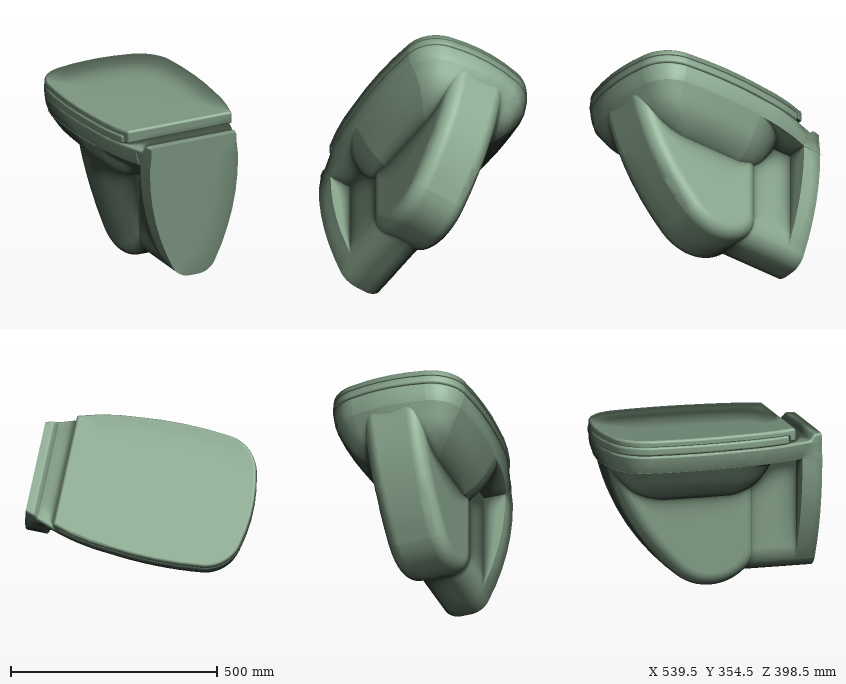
import cadquery as cq
import math


LENGTH = 539.5
WIDTH = 354.5
HEIGHT = 398.5
HALF_WIDTH = WIDTH / 2
FLANGE_X = 489.5

NOSE_END = (11.5, 95.0)
CORNER_END = (89.0, 170.0)
WIDEST_X = 210.5
SIDE_END = (323.5, 170.5)
REAR_ARC_MID = (404.0, 159.5)
REAR_ARC_END = (FLANGE_X, 134.5)
WALL_HALF_WIDTH = 117.5
CORNER_BULGE = 0.157

RIM_TOP = 361.0
RIM_ROUND = 6.0
FILLET_MARGIN = 0.05
RIM_FULL_Z = RIM_TOP - RIM_ROUND
RIM_BOTTOM = 316.0
SEAT_TOP = 383.0

BODY_SETBACK = 1.5
SEAT_REAR = 448.5
SEAT_ROUND = 6.5
LID_REAR = 466.0
LID_TOP_ROUND = 6.5
LID_EDGE_ROUND = 2.5
LID_CORNER_ROUND = 5.5
LIP_FRONT = 451.5
LIP_BOTTOM = 369.0
LIP_INNER_ROUND = 9.5

RIM_SECTIONS = [(RIM_FULL_Z, 0.0), (336.5, 2.5), (RIM_BOTTOM, 11.0)]
BOWL_SECTIONS = [
    (RIM_BOTTOM, 11.0, 95.0, 88.5, 7.0, 453.0),
    (289.0, 29.0, 86.5, 91.5, 6.5, 437.0),
    (265.5, 47.0, 75.5, 102.5, 5.5, 422.0),
    (245.0, 70.5, 62.0, 124.0, 3.0, 404.5),
    (222.0, 108.0, 43.0, 170.0, 0.5, 367.0),
]

FOOT_HALF_WIDTH = 75.0
FOOT_ROUND = 34.5
FOOT_CENTER_X = 275.5
FOOT_RADIUS = 129.5
FOOT_FRONT_ANGLE = 41.5
FOOT_BACK_ANGLE = 47.0
FOOT_BACK_X = 388.0
FOOT_TOP = (14.0, 329.0)

REAR_HALF_WIDTH = 65.0
REAR_START_X = 323.5
REAR_TOP = 323.5
REAR_ROUND_TOP = 91.5
REAR_ROUND_MID = (63.0, 72.5)
REAR_ROUND_END = (57.5, 56.0)
KEEL_START = (55.0, 50.5)
KEEL_RADIUS = 50.5
KEEL_BOTTOM = 26.5
FLANGE_HALF_WIDTH = 120.5
FLANGE_CURVE_MID = (99.0, 159.5)

LEDGE_FOOT_X = 507.0
LEDGE_CREST_X = 519.0
LEDGE_TOP = 375.5
LEDGE_BEND_ROUND = 8.0


def plan_outline(inset, z):
    """Closed plan outline at height z; every edge but the wall face moves in by inset."""
    nose_end = (NOSE_END[0] + inset, NOSE_END[1])
    corner_end = (CORNER_END[0], CORNER_END[1] - inset)
    corner_mid = arc_mid(nose_end, corner_end, CORNER_BULGE)
    side_mid = (WIDEST_X, HALF_WIDTH - inset)
    side_end = (SIDE_END[0], SIDE_END[1] - inset)
    rear_mid = (REAR_ARC_MID[0], REAR_ARC_MID[1] - inset)
    rear_end = (REAR_ARC_END[0], REAR_ARC_END[1] - inset)
    wall = (LENGTH, WALL_HALF_WIDTH - inset)
    return (
        cq.Workplane("XY", origin=(0, 0, z))
        .moveTo(*mirrored(nose_end))
        .threePointArc((inset, 0), nose_end)
        .threePointArc(corner_mid, corner_end)
        .threePointArc(side_mid, side_end)
        .threePointArc(rear_mid, rear_end)
        .lineTo(*wall)
        .lineTo(*mirrored(wall))
        .lineTo(*mirrored(rear_end))
        .threePointArc(mirrored(rear_mid), mirrored(side_end))
        .threePointArc(mirrored(side_mid), mirrored(corner_end))
        .threePointArc(mirrored(corner_mid), mirrored(nose_end))
        .close()
    )


def bowl_outline(z, inset, nose_half_width, corner_x, side_rise, rear_x):
    """Closed oval section of the bowl below the rim."""
    half_width = HALF_WIDTH - inset
    nose_end = (NOSE_END[0] + inset, nose_half_width)
    corner_end = (corner_x, half_width - side_rise)
    corner_mid = arc_mid(nose_end, corner_end, CORNER_BULGE)
    side_mid = ((corner_x + SIDE_END[0]) / 2, half_width)
    side_end = (SIDE_END[0], half_width - side_rise)
    return (
        cq.Workplane("XY", origin=(0, 0, z))
        .moveTo(*mirrored(nose_end))
        .threePointArc((inset, 0), nose_end)
        .threePointArc(corner_mid, corner_end)
        .threePointArc(side_mid, side_end)
        .threePointArc((rear_x, 0), mirrored(side_end))
        .threePointArc(mirrored(side_mid), mirrored(corner_end))
        .threePointArc(mirrored(corner_mid), mirrored(nose_end))
        .close()
    )


def mirrored(point):
    """The same plan point on the other side of the centre plane."""
    return (point[0], -point[1])


def arc_mid(start, end, bulge):
    """Middle of an arc that bulges to the left of the way from start to end."""
    run = end[0] - start[0]
    rise = end[1] - start[1]
    return ((start[0] + end[0]) / 2 - bulge * rise, (start[1] + end[1]) / 2 + bulge * run)


def loft_through(outlines):
    wires = [outline.val() for outline in outlines]
    return cq.Workplane(cq.Solid.makeLoft(wires))


def plan_slab(inset, bottom, top):
    return plan_outline(inset, bottom).extrude(top - bottom)


def space_behind(x):
    """Block that covers everything behind x."""
    return cq.Workplane("XY").box(LENGTH, 2 * WIDTH, 2 * HEIGHT, centered=(False, True, False)).translate((x, 0, 0))


def make_lid():
    slab = plan_slab(BODY_SETBACK, LIP_BOTTOM, HEIGHT).cut(space_behind(LID_REAR))
    slab = slab.edges("|Z and >X").fillet(LID_CORNER_ROUND)
    seat_space = (
        cq.Workplane("XY")
        .box(2 * LIP_FRONT, 2 * WIDTH, 2 * (SEAT_TOP - LIP_BOTTOM))
        .translate((0, 0, LIP_BOTTOM))
        .edges(">X and >Z")
        .fillet(LIP_INNER_ROUND)
    )
    lid = slab.cut(seat_space)
    lid = lid.faces(">Z").edges().fillet(LID_TOP_ROUND)
    margin = LID_EDGE_ROUND / 2
    ahead_of_lip = cq.selectors.BoxSelector(
        (-margin, -WIDTH, LIP_BOTTOM - margin),
        (LIP_FRONT + margin, WIDTH, SEAT_TOP + margin),
    )
    across = cq.selectors.ParallelDirSelector(cq.Vector(0, 1, 0))
    lip_bottom_edges = lid.faces("<Z").edges()
    return lid.edges(ahead_of_lip - across).add(lip_bottom_edges).fillet(LID_EDGE_ROUND)


def make_seat():
    slab = plan_slab(0, RIM_TOP, SEAT_TOP).cut(space_behind(SEAT_REAR))
    slab = slab.edges("|Z and >X").fillet(SEAT_ROUND)
    return slab.faces("<Z or >Z").edges().fillet(SEAT_ROUND)


def make_rim():
    body = loft_through([plan_outline(BODY_SETBACK + inset, z) for z, inset in RIM_SECTIONS])
    body = body.cut(space_behind(FLANGE_X)).union(make_rim_tail())
    top = plan_slab(BODY_SETBACK, RIM_FULL_Z, RIM_TOP)
    top = top.faces(">Z").edges("not >X").fillet(RIM_ROUND - FILLET_MARGIN)
    return body.union(top)


def make_rim_tail():
    """Rear end of the rim, blending from the rim profile into the upright flange side."""

    def cross_section(x, top_half_width, bottom_half_width):
        return (
            cq.Workplane("YZ", origin=(x, 0, 0))
            .moveTo(-top_half_width, RIM_FULL_Z)
            .lineTo(top_half_width, RIM_FULL_Z)
            .lineTo(bottom_half_width, RIM_BOTTOM)
            .lineTo(-bottom_half_width, RIM_BOTTOM)
            .close()
        )

    front_half_width = REAR_ARC_END[1] - BODY_SETBACK
    bottom_inset = RIM_SECTIONS[-1][1]
    front = cross_section(FLANGE_X, front_half_width, front_half_width - bottom_inset)
    back = cross_section(LENGTH, WALL_HALF_WIDTH - BODY_SETBACK, FLANGE_HALF_WIDTH)
    return loft_through([front, back])


def make_bowl_shell():
    return loft_through([bowl_outline(*section) for section in BOWL_SECTIONS])


def make_foot():
    """Upright slab under the bowl with a rounded outline and rounded edges."""

    def on_bottom_arc(degrees):
        angle = math.radians(degrees)
        x = FOOT_CENTER_X + FOOT_RADIUS * math.sin(angle)
        return (x, FOOT_RADIUS * (1 - math.cos(angle)))

    front = on_bottom_arc(-FOOT_FRONT_ANGLE)
    back = on_bottom_arc(FOOT_BACK_ANGLE)
    back_angle = math.radians(FOOT_BACK_ANGLE)
    heel_radius = (FOOT_BACK_X - back[0]) / (1 - math.sin(back_angle))
    heel_top = (FOOT_BACK_X, back[1] + heel_radius * math.cos(back_angle))
    slab = (
        cq.Workplane("XZ")
        .moveTo(FOOT_BACK_X, FOOT_TOP[1])
        .lineTo(*heel_top)
        .tangentArcPoint(back, relative=False)
        .threePointArc((FOOT_CENTER_X, 0), front)
        .tangentArcPoint(FOOT_TOP, relative=False)
        .close()
        .extrude(FOOT_HALF_WIDTH, both=True)
    )
    side_edges = slab.faces("<Y or >Y").edges("not >Z")
    return side_edges.fillet(FOOT_ROUND)


def keel(outline):
    """Carry a half section on from KEEL_START round the bottom edge to the centre plane."""
    y, z = KEEL_START
    drop = KEEL_RADIUS - (z - KEEL_BOTTOM)
    bottom_y = y - math.sqrt(KEEL_RADIUS**2 - drop**2)
    return outline.radiusArc((bottom_y, KEEL_BOTTOM), KEEL_RADIUS).lineTo(0, KEEL_BOTTOM)


def mirrored_prism(half_section, length):
    half = half_section.close().extrude(length)
    return half.union(half.mirror("XZ"))


def make_rear_body():
    section = (
        cq.Workplane("YZ", origin=(REAR_START_X, 0, 0))
        .moveTo(0, REAR_TOP)
        .lineTo(REAR_HALF_WIDTH, REAR_TOP)
        .lineTo(REAR_HALF_WIDTH, REAR_ROUND_TOP)
        .threePointArc(REAR_ROUND_MID, REAR_ROUND_END)
        .lineTo(*KEEL_START)
    )
    return mirrored_prism(keel(section), LENGTH - REAR_START_X)


def make_flange():
    section = (
        cq.Workplane("YZ", origin=(FLANGE_X, 0, 0))
        .moveTo(0, RIM_BOTTOM)
        .lineTo(FLANGE_HALF_WIDTH, RIM_BOTTOM)
        .threePointArc(FLANGE_CURVE_MID, KEEL_START)
    )
    return mirrored_prism(keel(section), LENGTH - FLANGE_X)


def make_ledge():
    """Raised bar along the wall with a sloping front and rounded edges."""
    profile = (
        cq.Workplane("XZ")
        .moveTo(FLANGE_X, RIM_FULL_Z)
        .lineTo(FLANGE_X, RIM_TOP)
        .lineTo(LEDGE_FOOT_X, RIM_TOP)
        .lineTo(LEDGE_CREST_X, LEDGE_TOP)
        .lineTo(LENGTH, LEDGE_TOP)
        .lineTo(LENGTH, RIM_FULL_Z)
        .close()
        .extrude(WIDTH, both=True)
    )
    foot_and_crest = cq.selectors.BoxSelector(
        (LEDGE_FOOT_X - LEDGE_BEND_ROUND, -WIDTH, RIM_TOP - LEDGE_BEND_ROUND),
        (LEDGE_CREST_X + LEDGE_BEND_ROUND, WIDTH, LEDGE_TOP + LEDGE_BEND_ROUND),
    )
    across = cq.selectors.ParallelDirSelector(cq.Vector(0, 1, 0))
    profile = profile.edges(foot_and_crest & across).fillet(LEDGE_BEND_ROUND)
    ledge = plan_slab(BODY_SETBACK, RIM_FULL_Z, LEDGE_TOP).intersect(profile)
    return ledge.faces(">Z").edges("not (|Y)").fillet(RIM_ROUND - FILLET_MARGIN)


def make_pan():
    """Ceramic pan: rim, bowl, foot, rear body, wall flange and ledge in one piece."""
    pan = make_rim()
    for feature in (make_bowl_shell(), make_foot(), make_rear_body(), make_flange(), make_ledge()):
        pan = pan.union(feature)
    return pan


pan = make_pan()
seat = make_seat()
lid = make_lid()

result = cq.Compound.makeCompound([pan.val(), seat.val(), lid.val()])